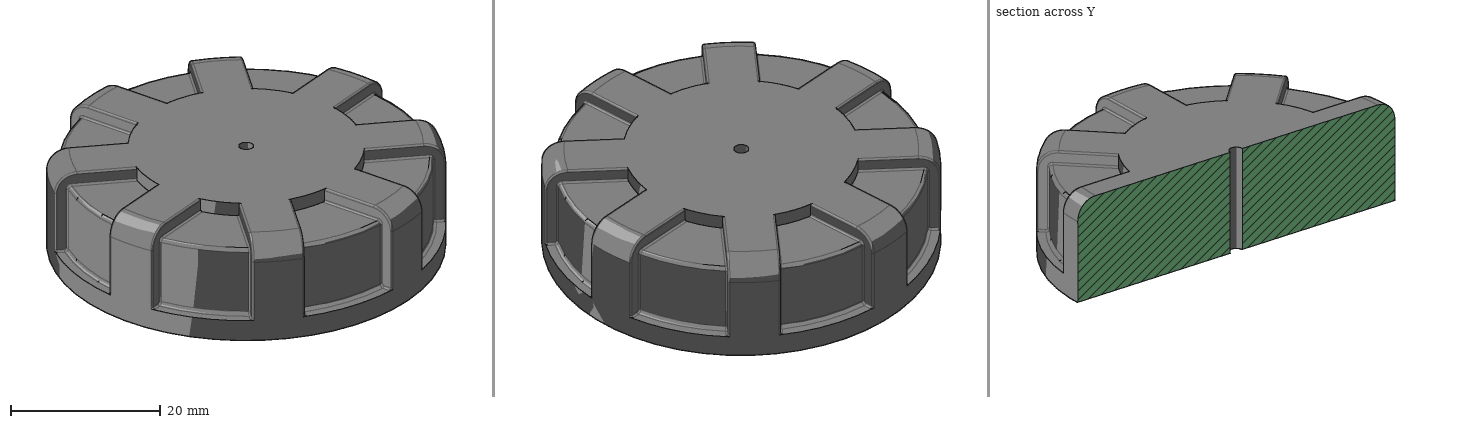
import cadquery as cq
import math

cap_radius = 26.75
cap_height = 15.0
shoulder_round = 3.0
vent_diameter = 2.0

rib_count = 8
rib_half_width = 3.55
hub_radius = 15.85
wall_radius = 25.05
floor_z = 13.05
ledge_z = 3.05
pocket_round = 0.5
rib_foot_round = 0.25
rib_edge_round = 0.25

rib_pitch = 360.0 / rib_count

clearance = 1.05
tolerance = 0.0005


def make_blank():
    """Solid cap with a rounded shoulder and a vent hole on its axis."""
    blank = cq.Workplane("XY").circle(cap_radius).extrude(cap_height)
    blank = blank.faces(">Z").edges().fillet(shoulder_round)
    return blank.faces(">Z").workplane().hole(vent_diameter)


def pocket_ring():
    """Ring of space above the pocket floor and outside the recessed wall."""
    arc_offset = pocket_round * math.sqrt(0.5)
    top_center = (wall_radius - pocket_round, floor_z - pocket_round)
    foot_center = (wall_radius + pocket_round, ledge_z + pocket_round)
    outer = cap_radius + clearance
    top = cap_height + clearance
    profile = (
        cq.Workplane("XZ")
        .moveTo(hub_radius, top)
        .lineTo(hub_radius, floor_z)
        .lineTo(top_center[0], floor_z)
        .threePointArc(
            (top_center[0] + arc_offset, top_center[1] + arc_offset),
            (wall_radius, top_center[1]),
        )
        .lineTo(wall_radius, foot_center[1])
        .threePointArc(
            (foot_center[0] - arc_offset, foot_center[1] - arc_offset),
            (foot_center[0], ledge_z),
        )
        .lineTo(outer, ledge_z)
        .lineTo(outer, top)
        .close()
    )
    return profile.revolve(360, (0, 0, 0), (0, 1, 0))


def rib_gap():
    """Wedge between the facing sides of the rib on +X and the next rib."""
    half_pitch = math.radians(rib_pitch / 2)
    apex_distance = rib_half_width / math.sin(half_pitch)
    reach = 2 * cap_radius
    half_opening = reach * math.tan(half_pitch)
    wedge = (
        cq.Workplane("XY")
        .moveTo(apex_distance, 0)
        .lineTo(apex_distance + reach, half_opening)
        .lineTo(apex_distance + reach, -half_opening)
        .close()
        .extrude(2 * cap_height)
    )
    return wedge.rotate((0, 0, 0), (0, 0, 1), rib_pitch / 2)


def on_rib_side(point):
    """True when a point lies in the side plane of any rib."""
    pitch = math.radians(rib_pitch)
    angle = math.atan2(point.y, point.x)
    angle_from_rib = angle - pitch * round(angle / pitch)
    distance = math.hypot(point.x, point.y)
    side_offset = abs(distance * math.sin(angle_from_rib))
    return abs(side_offset - rib_half_width) < tolerance


def runs_along_rib(edge):
    """True when an edge follows a rib side, other than the upright corner at the hub."""
    middle = edge.positionAt(0.5)
    beyond_hub = math.hypot(middle.x, middle.y) > hub_radius + tolerance
    in_side_plane = all(on_rib_side(edge.positionAt(place)) for place in (0, 0.5, 1))
    return beyond_hub and in_side_plane


def is_rib_foot(edge):
    """True when an pocket edge lies where a rib side meets floor, wall or ledge."""
    middle = edge.positionAt(0.5)
    below_floor = edge.BoundingBox().zmax < floor_z + tolerance
    inside_outer_face = math.hypot(middle.x, middle.y) < cap_radius + clearance - tolerance
    return runs_along_rib(edge) and below_floor and inside_outer_face


def make_pocket():
    """One pocket, rounded where the rib sides meet floor, wall and ledge."""
    pocket = pocket_ring().intersect(rib_gap())
    return pocket.edges().filter(is_rib_foot).fillet(rib_foot_round)


def cut_pockets(body):
    """Cut a pocket between every two neighbouring ribs."""
    pocket = make_pocket()
    for index in range(rib_count):
        body = body.cut(pocket.rotate((0, 0, 0), (0, 0, 1), index * rib_pitch))
    return body


def round_rib_edges(body):
    """Round the outer rib edges; the rim edge of the ledge is rounded along with them."""
    return body.edges().filter(runs_along_rib).fillet(rib_edge_round)


def make_base():
    """Plain disc up to the ledge, which keeps the rim edge of the ledge sharp."""
    base = cq.Workplane("XY").circle(cap_radius).circle(vent_diameter / 2)
    return base.extrude(ledge_z)


ribbed_cap = round_rib_edges(cut_pockets(make_blank()))
result = ribbed_cap.union(make_base())